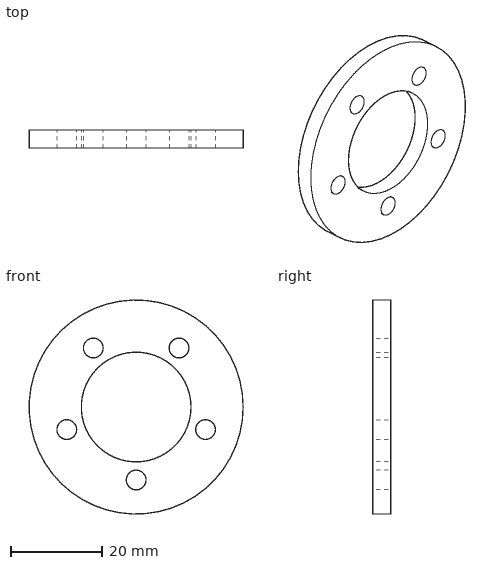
import cadquery as cq

outer_diameter = 47.0
bore_diameter = 24.0
thickness = 4.0
bolt_hole_diameter = 4.3
bolt_circle_diameter = 32.0
bolt_hole_count = 5
first_hole_angle = -90.0

ring = (
    cq.Workplane("XZ")
    .circle(outer_diameter / 2)
    .circle(bore_diameter / 2)
    .extrude(thickness)
)

bolt_holes = (
    cq.Workplane("XZ")
    .polarArray(bolt_circle_diameter / 2, first_hole_angle, 360, bolt_hole_count)
    .circle(bolt_hole_diameter / 2)
    .extrude(thickness)
)

result = ring.cut(bolt_holes)